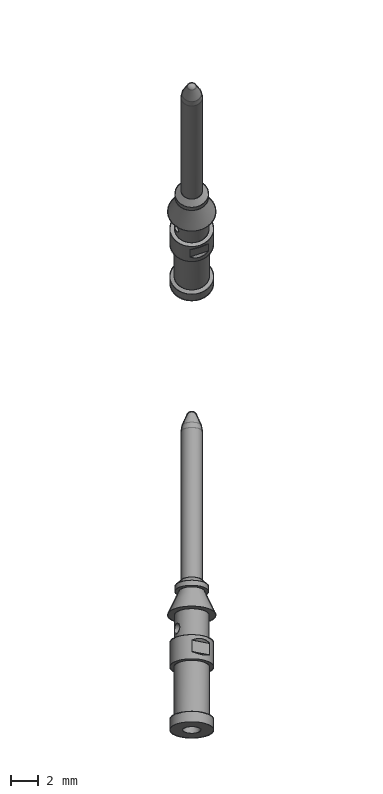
import cadquery as cq
import math

pin_diameter = 1.57
shoulder_diameter = 1.42
tip_diameter = 0.65
flange_diameter = 2.45
cone_top_diameter = 1.87
cone_base_diameter = 3.5
neck_diameter = 2.51
collar_diameter = 3.19
barrel_diameter = 2.6

rim_top = 0.82
rim_bevel_top = 0.95
collar_bottom = 4.93
collar_top = 6.82
cone_base = 9.0
flange_bottom = 10.83
flange_top = 11.23
pin_bottom = 11.65
pin_top = 23.35
shoulder_top = 23.8
dome_base = 24.73
total_length = 24.9

bore_diameter = 1.32
inspection_diameter = 0.8
inspection_height = 7.7
bore_depth = inspection_height + inspection_diameter

notch_depth = 0.17
notch_floor_height = 0.9
notch_mouth_height = notch_floor_height + 2 * notch_depth
notch_center_height = 5.95


def turned_body():
    """Revolve the outer half profile of the contact about Z."""
    tip_radius = tip_diameter / 2
    dome_height = total_length - dome_base
    dome_radius = (tip_radius**2 + dome_height**2) / (2 * dome_height)
    dome_center = total_length - dome_radius
    mid_angle = math.asin(tip_radius / dome_radius) / 2
    dome_middle = (
        dome_radius * math.sin(mid_angle),
        dome_center + dome_radius * math.cos(mid_angle),
    )
    profile = (
        cq.Workplane("XZ")
        .lineTo(collar_diameter / 2, 0)
        .lineTo(collar_diameter / 2, rim_top)
        .lineTo(barrel_diameter / 2, rim_bevel_top)
        .lineTo(barrel_diameter / 2, collar_bottom)
        .lineTo(collar_diameter / 2, collar_bottom)
        .lineTo(collar_diameter / 2, collar_top)
        .lineTo(neck_diameter / 2, collar_top)
        .lineTo(neck_diameter / 2, cone_base)
        .lineTo(cone_base_diameter / 2, cone_base)
        .lineTo(cone_top_diameter / 2, flange_bottom)
        .lineTo(flange_diameter / 2, flange_bottom)
        .lineTo(flange_diameter / 2, flange_top)
        .lineTo(pin_diameter / 2, pin_bottom)
        .lineTo(pin_diameter / 2, pin_top)
        .lineTo(shoulder_diameter / 2, shoulder_top)
        .lineTo(tip_radius, dome_base)
        .threePointArc(dome_middle, (0, total_length))
        .close()
    )
    return profile.revolve(360, (0, 0, 0), (0, 1, 0))


def wire_bore():
    """Blind bore rising from the bottom face."""
    return cq.Workplane("XY").circle(bore_diameter / 2).extrude(bore_depth)


def inspection_hole():
    """Radial hole from the -Y side of the neck into the bore."""
    return (
        cq.Workplane("XZ")
        .center(0, inspection_height)
        .circle(inspection_diameter / 2)
        .extrude(neck_diameter)
    )


def collar_notch():
    """Trapezoidal channel running along Y in the +X side of the collar."""
    mouth_x = collar_diameter / 2
    floor_x = mouth_x - notch_depth
    half_floor = notch_floor_height / 2
    half_mouth = notch_mouth_height / 2
    return (
        cq.Workplane("XZ", origin=(0, 0, notch_center_height))
        .moveTo(floor_x, -half_floor)
        .lineTo(mouth_x, -half_mouth)
        .lineTo(mouth_x, half_mouth)
        .lineTo(floor_x, half_floor)
        .close()
        .extrude(collar_diameter / 2, both=True)
    )


result = turned_body().cut(wire_bore()).cut(inspection_hole()).cut(collar_notch())